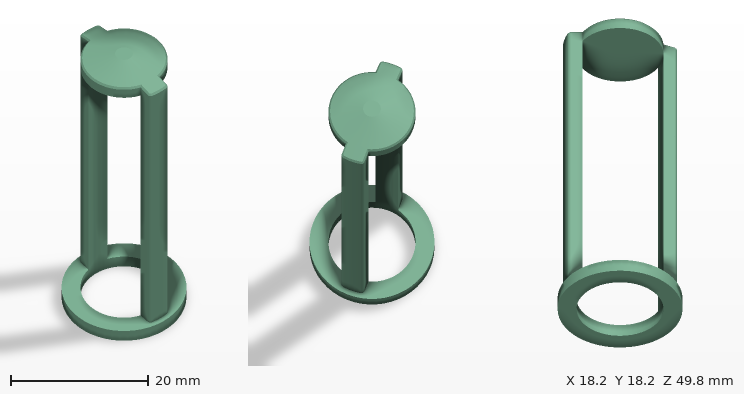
import cadquery as cq

height = 49.75
base_diameter = 18.2
base_thickness = 2.0

cap_diameter = 12.7
cap_bottom = height - 2.8

post_outer_diameter = 16.65
post_width = 3.55
post_corner_radius = 0.5

flat_diameter = 2.6
cone_drop = 1.25
top_edge_chamfer = 0.25


def cylinder(diameter, bottom, top):
    return cq.Workplane("XY").workplane(offset=bottom).circle(diameter / 2).extrude(top - bottom)


def make_crossbar():
    """Full-height bar spanning both posts, with rounded outer corners."""
    bar = cq.Workplane("XY").box(base_diameter, post_width, height, centered=(True, True, False))
    bar = bar.intersect(cylinder(post_outer_diameter, 0, height))
    return bar.edges("|Z").fillet(post_corner_radius)


def make_cone_envelope():
    """Solid of revolution whose upper surface is the conical top."""
    outer_radius = post_outer_diameter / 2
    return (
        cq.Workplane("XZ")
        .moveTo(0, 0)
        .lineTo(outer_radius, 0)
        .lineTo(outer_radius, height - cone_drop)
        .lineTo(flat_diameter / 2, height)
        .lineTo(0, height)
        .close()
        .revolve(360, (0, 0), (0, 1))
    )


def make_posts_and_cap():
    """Posts joined by the cap disc, with the rim of the conical top chamfered."""
    solid = make_crossbar().union(cylinder(cap_diameter, cap_bottom, height))
    solid = solid.intersect(make_cone_envelope())
    cone_face = solid.faces("%CONE")
    rim = cone_face.edges().filter(lambda edge: edge.Center().z < height - top_edge_chamfer)
    solid = solid.newObject(rim.vals()).chamfer(top_edge_chamfer)
    return solid.cut(cylinder(cap_diameter, 0, cap_bottom))


def make_base_ring():
    ring = cylinder(base_diameter, 0, base_thickness)
    return ring.cut(cylinder(cap_diameter, 0, base_thickness))


result = make_base_ring().union(make_posts_and_cap())